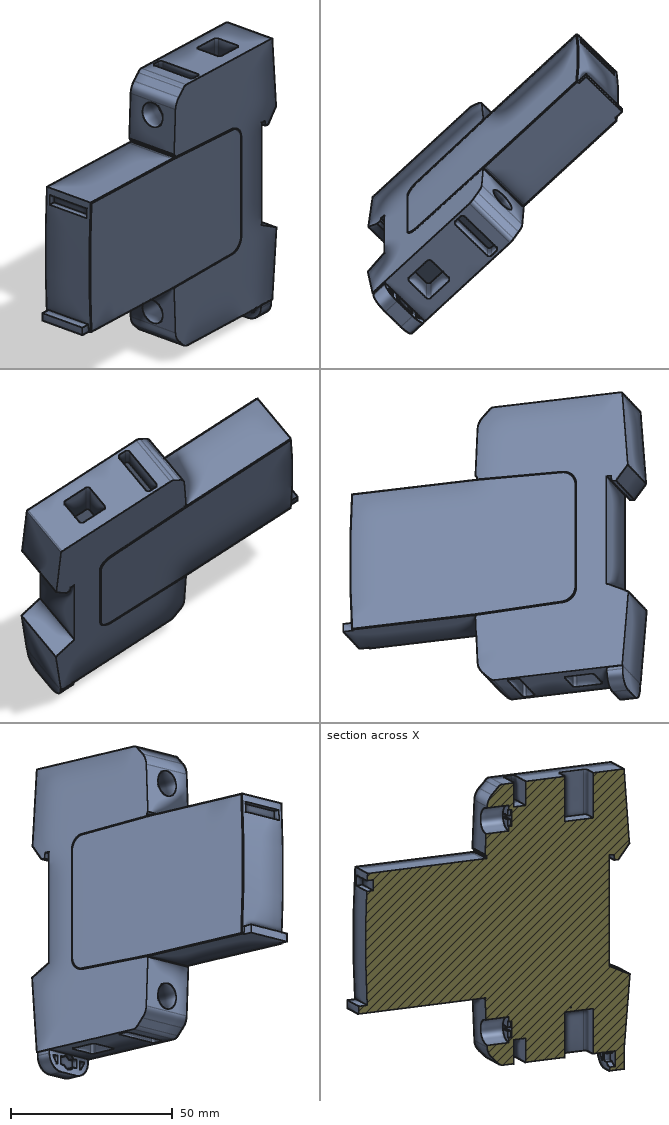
import cadquery as cq

width = 18.0
half_width = width / 2
housing_height = 90.1
mid_height = housing_height / 2

nose_start = 36.8
nose_round = (1.5, 0.9)
nose_bevel = 2.1
nose_drop = 6.5
front_shoulder = 42.1
front_waist = 42.7
upper_lip = (0.5, 0.7)
upper_lip_gap = 0.6
lower_lip = 0.3

back_corner = 5.1
back_round = 0.4
upper_foot = (6.9, 65.9)
hook_outer_tip = (3.1, 61.1)
hook_inner_tip = (1.7, 61.1)
hook_root = 1.4
rail_top = 62.9
rail_bottom = 27.5
lower_foot = (7.1, 24.1)

module_top = 67.0
module_bottom = 22.2
module_middle = (module_top + module_bottom) / 2
module_back = 9.9
module_front = 83.0
module_bulge = 0.7
taper_start = 43.3
taper_drop = 1.0
module_corner = 4.6
module_bevel = 0.3
module_slot_size = (14.7, 3.3)
module_slot_z = 62.9
module_slot_depth = 1.9
grip_width = 16.0
grip_height = 2.6
grip_front = 86.1

screw_z = 78.9
screw_hole_radius = 4.0
screw_hole_floor = 34.6
screw_recess_depth = 1.0
screw_slot_size = (8.4, 1.25)
screw_cross_size = (1.1, 5.1)
wire_pocket_size = (9.4, 9.6)
wire_pocket_y = -10.5
wire_pocket_depth = 14.4
label_slot_size = (15.8, 3.9)
label_slot_y = -30.8
label_slot_depth = 7.7
pocket_corner = 1.0

tab_width = 17.2
tab_drop = 6.2
tab_recess_depth = 1.9
tab_corner = 5.2
tab_slot_size = (7.1, 2.7)
tab_slot_round = 0.4
tab_hole_z = -2.4
tab_hole_radius = 2.4
tab_triangle = ((4.9, -1.25), (7.1, -1.25), (4.9, -4.5))
tab_triangle_round = 0.3


def side_plane():
    """Plane with axes Y and Z at the -X side; extruding by the width fills the part across X."""
    return cq.Workplane("YZ", origin=(-half_width, 0, 0))


def front_plane(y):
    """Plane with axes X and Z at a given Y; positive extrusion runs towards -Y."""
    return cq.Workplane("XZ", origin=(0, y, 0))


def upside_down(point):
    return (point[0], housing_height - point[1])


def both_ends(upper):
    """The shape at the upper terminal together with its mirror image at the lower one."""
    return upper.union(upper.mirror("XY", (0, 0, mid_height)))


def housing():
    flat_end = (-nose_start, housing_height)
    bevel_start = (flat_end[0] - nose_round[0], flat_end[1] - nose_round[1])
    bevel_end = (bevel_start[0] - nose_bevel, bevel_start[1] - nose_bevel)
    face_start = (-front_shoulder, housing_height - nose_drop)
    lip_bottom = module_top + upper_lip_gap
    return (
        side_plane()
        .moveTo(back_corner, housing_height)
        .lineTo(*flat_end)
        .tangentArcPoint(bevel_start, relative=False)
        .lineTo(*bevel_end)
        .tangentArcPoint(face_start, relative=False)
        .lineTo(-front_waist, lip_bottom + upper_lip[1])
        .lineTo(-front_waist + upper_lip[0], lip_bottom)
        .lineTo(-front_waist + upper_lip[0], module_top)
        .lineTo(-front_waist + lower_lip, module_bottom)
        .lineTo(-front_waist, module_bottom - lower_lip)
        .lineTo(*upside_down(face_start))
        .tangentArcPoint(upside_down(bevel_end), relative=False)
        .lineTo(*upside_down(bevel_start))
        .tangentArcPoint(upside_down(flat_end), relative=False)
        .lineTo(back_corner, 0)
        .lineTo(*lower_foot)
        .lineTo(0, rail_bottom)
        .lineTo(0, rail_top)
        .lineTo(hook_root, rail_top)
        .lineTo(*hook_inner_tip)
        .lineTo(*hook_outer_tip)
        .lineTo(*upper_foot)
        .close()
        .extrude(width)
        .faces(">Z")
        .edges(">Y")
        .fillet(back_round)
    )


def module_body():
    """Module with sharp side edges, also the shape of the bay it sits in."""
    return (
        side_plane()
        .moveTo(-module_back, module_top - taper_drop)
        .lineTo(-taper_start, module_top)
        .lineTo(-module_front, module_top)
        .threePointArc((-module_front - module_bulge, module_middle), (-module_front, module_bottom))
        .lineTo(-taper_start, module_bottom)
        .lineTo(-module_back, module_bottom + taper_drop)
        .close()
        .extrude(width)
        .edges("|X and >Y")
        .fillet(module_corner)
    )


def module(body):
    """Module with bevelled side edges, a finger slot and a grip ledge."""
    bevelled = body.faces("<X or >X").edges().chamfer(module_bevel)
    slot_floor = -module_front + module_slot_depth
    finger_slot = (
        front_plane(slot_floor)
        .center(0, module_slot_z)
        .rect(*module_slot_size)
        .extrude(module_slot_depth + module_bulge)
    )
    grip = (
        front_plane(slot_floor)
        .center(0, module_bottom + grip_height / 2)
        .rect(grip_width, grip_height)
        .extrude(grip_front + slot_floor)
    )
    return bevelled.cut(finger_slot).union(grip)


def screw_hole():
    """Bore in the front face down to a screw head with a cross recess."""
    bore = front_plane(-screw_hole_floor).center(0, screw_z).circle(screw_hole_radius).extrude(front_waist)
    for size in (screw_slot_size, screw_cross_size):
        recess_floor = front_plane(-screw_hole_floor + screw_recess_depth)
        bore = bore.union(recess_floor.center(0, screw_z).rect(*size).extrude(screw_recess_depth))
    return bore


def end_pocket(size, y, depth):
    """Round-cornered pocket sunk into the top face."""
    return (
        cq.Workplane("XY", origin=(0, y, housing_height - depth))
        .rect(*size)
        .extrude(depth)
        .edges("|Z")
        .fillet(pocket_corner)
    )


def latch_tab():
    """Pull tab below the housing with a shallow central recess and two small triangular ones."""
    tab = (
        front_plane(back_corner)
        .center(0, -tab_drop / 2)
        .rect(tab_width, tab_drop)
        .extrude(back_corner)
        .edges("|Y and <Z")
        .fillet(tab_corner)
    )
    slot = (
        front_plane(tab_recess_depth)
        .center(0, tab_hole_z)
        .rect(*tab_slot_size)
        .extrude(tab_recess_depth)
        .edges("|Y")
        .fillet(tab_slot_round)
    )
    hole = front_plane(tab_recess_depth).center(0, tab_hole_z).circle(tab_hole_radius).extrude(tab_recess_depth)
    triangle = (
        front_plane(tab_recess_depth)
        .polyline(tab_triangle)
        .close()
        .extrude(tab_recess_depth)
        .edges("|Y")
        .fillet(tab_triangle_round)
    )
    return tab.cut(slot).cut(hole).cut(triangle).cut(triangle.mirror("YZ"))


terminal = (
    screw_hole()
    .union(end_pocket(wire_pocket_size, wire_pocket_y, wire_pocket_depth))
    .union(end_pocket(label_slot_size, label_slot_y, label_slot_depth))
)
bay = module_body()
result = housing().cut(bay).cut(both_ends(terminal)).union(latch_tab()).union(module(bay))